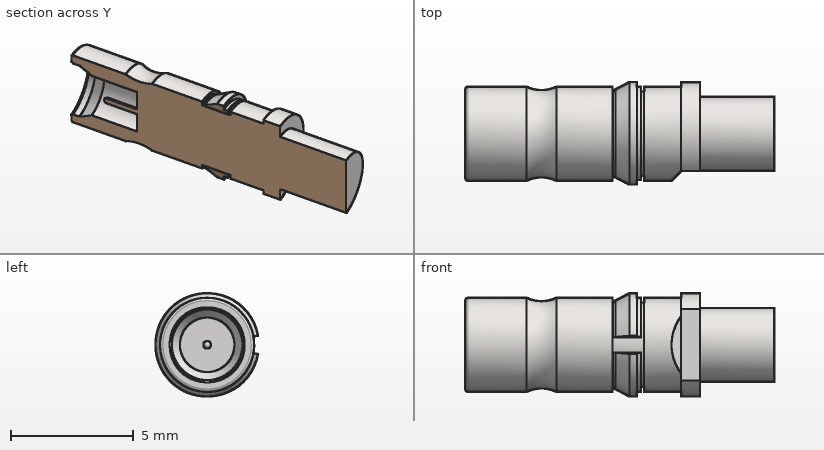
import cadquery as cq
import math


total_length = 12.59
body_radius = 1.92
nose_fillet = 0.12
waist_start = 2.5
waist_length = 1.21
waist_depth = 0.135
flange_start = 8.8
flange_length = 0.77
flange_radius = 2.11
tail_radius = 1.51
flat_distance = 1.525

groove_start = 6.0
groove_end = 7.29
groove_radius = 1.73

mouth_radius = 1.53
socket_radius = 1.44
bore_radius = 1.11
socket_depth = 0.39
taper_end = 0.95
bore_depth = 3.0

pin_radius = 0.155
pin_length = 1.5

ring_start = 6.03
ring_lip_length = 0.09
ring_lip_radius = 1.81
ring_crest_start = 6.69
ring_crest_end = 6.99
ring_crest_radius = flange_radius
ring_end = 7.17
ring_tail_radius = body_radius
ring_gap_angle = 20.3


def turned(profile):
    """Revolve a closed XZ profile about the X axis."""
    return profile.close().revolve(360, (0, 0, 0), (1, 0, 0))


def housing_blank():
    """Solid outside of the housing: rounded nose, waist, ring groove, flange and tail."""
    waist_middle = waist_start + waist_length / 2
    waist_end = waist_start + waist_length
    flange_end = flange_start + flange_length
    return turned(
        cq.Workplane("XZ")
        .lineTo(0, body_radius - nose_fillet)
        .radiusArc((nose_fillet, body_radius), nose_fillet)
        .lineTo(waist_start, body_radius)
        .threePointArc((waist_middle, body_radius - waist_depth), (waist_end, body_radius))
        .lineTo(groove_start, body_radius)
        .lineTo(groove_start, groove_radius)
        .lineTo(groove_end, groove_radius)
        .lineTo(groove_end, body_radius)
        .lineTo(flange_start, body_radius)
        .lineTo(flange_start, flange_radius)
        .lineTo(flange_end, flange_radius)
        .lineTo(flange_end, tail_radius)
        .lineTo(total_length, tail_radius)
        .lineTo(total_length, 0)
    )


def mating_bore():
    """Chamfered socket that tapers down to a plain blind bore."""
    mouth_chamfer = mouth_radius - socket_radius
    return turned(
        cq.Workplane("XZ")
        .lineTo(0, mouth_radius)
        .lineTo(mouth_chamfer, socket_radius)
        .lineTo(socket_depth, socket_radius)
        .lineTo(taper_end, bore_radius)
        .lineTo(bore_depth, bore_radius)
        .lineTo(bore_depth, 0)
    )


def contact_pin():
    """Round-tipped pin that stands on the floor of the bore and is part of the housing."""
    tip = bore_depth - pin_length
    return turned(
        cq.Workplane("XZ")
        .moveTo(tip, 0)
        .radiusArc((tip + pin_radius, pin_radius), pin_radius)
        .lineTo(bore_depth, pin_radius)
        .lineTo(bore_depth, 0)
    )


def flange_flat():
    """Cutter for the -Y flat of the flange, with a 45 degree run-out into the body."""
    flange_end = flange_start + flange_length
    cut_depth = flange_radius - flat_distance
    return (
        cq.Workplane("XY")
        .moveTo(flange_start - cut_depth, -flange_radius)
        .lineTo(flange_start, -flat_distance)
        .lineTo(flange_end, -flat_distance)
        .lineTo(flange_end, -flange_radius)
        .close()
        .extrude(flange_radius, both=True)
    )


def make_housing():
    return housing_blank().cut(flange_flat()).cut(mating_bore()).union(contact_pin())


def ring_gap():
    """Wedge with its point on the axis that splits the ring on the -Y side."""
    reach = 2 * ring_crest_radius
    half_width = reach * math.tan(math.radians(ring_gap_angle / 2))
    return (
        cq.Workplane("YZ", origin=(ring_start, 0, 0))
        .lineTo(-reach, half_width)
        .lineTo(-reach, -half_width)
        .close()
        .extrude(ring_end - ring_start)
    )


def make_snap_ring():
    """Ring seated on the groove floor, with a ramp up to its crest."""
    ring = turned(
        cq.Workplane("XZ")
        .moveTo(ring_start, groove_radius)
        .lineTo(ring_start, ring_lip_radius)
        .lineTo(ring_start + ring_lip_length, ring_lip_radius)
        .lineTo(ring_crest_start, ring_crest_radius)
        .lineTo(ring_crest_end, ring_crest_radius)
        .lineTo(ring_crest_end, ring_tail_radius)
        .lineTo(ring_end, ring_tail_radius)
        .lineTo(ring_end, groove_radius)
    )
    return ring.cut(ring_gap())


housing = make_housing()
snap_ring = make_snap_ring()
result = cq.Compound.makeCompound([housing.val(), snap_ring.val()])